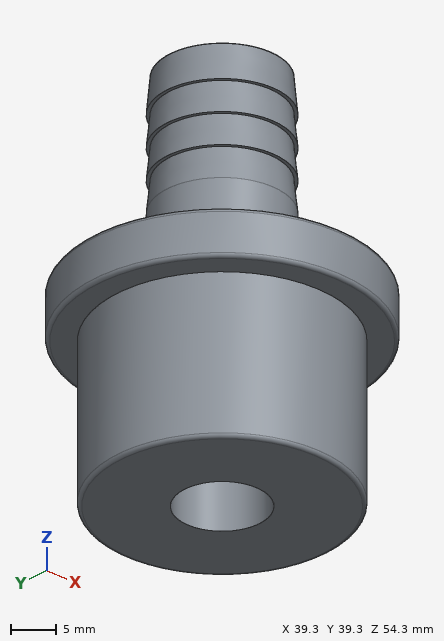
import cadquery as cq

total_height = 54.3
bore_diameter = 11.5

spigot_diameter = 32.2
spigot_height = 20.9
spigot_edge_fillet = 0.5

flange_diameter = 39.3
flange_thickness = 6.2
flange_edge_fillet = 0.5
flange_top = spigot_height + flange_thickness

shank_diameter = 16.9
shank_root_fillet = 1.0
barb_count = 4
barb_pitch = 4.2
barb_small_diameter = 16.0
end_barb_height = 4.7
barbs_start = total_height - end_barb_height - (barb_count - 1) * barb_pitch


def cylinder(diameter, base, height):
    return cq.Workplane("XY").workplane(offset=base).circle(diameter / 2).extrude(height)


def make_spigot():
    """Lower spigot with a rounded bottom rim."""
    spigot = cylinder(spigot_diameter, 0, spigot_height)
    return spigot.faces("<Z").edges().fillet(spigot_edge_fillet)


def make_flange_and_shank():
    """Flange with rounded rims, blended into the plain shank by a fillet."""
    flange = cylinder(flange_diameter, spigot_height, flange_thickness)
    flange = flange.edges().fillet(flange_edge_fillet)
    body = flange.union(cylinder(shank_diameter, flange_top, barbs_start - flange_top))
    flange_top_face = body.faces("|Z").faces(">Z[-2]")
    return flange_top_face.edges(cq.selectors.RadiusNthSelector(0)).fillet(shank_root_fillet)


def make_barbs():
    """Stack of cones, each widest at its lower edge and narrowing upward."""
    profile = cq.Workplane("XZ").moveTo(0, barbs_start)
    for index in range(barb_count):
        is_end = index == barb_count - 1
        base = barbs_start + index * barb_pitch
        height = end_barb_height if is_end else barb_pitch
        profile = profile.lineTo(shank_diameter / 2, base)
        profile = profile.lineTo(barb_small_diameter / 2, base + height)
    return profile.lineTo(0, total_height).close().revolve(360, (0, 0, 0), (0, 1, 0))


bore = cylinder(bore_diameter, 0, total_height)
result = make_spigot().union(make_flange_and_shank()).union(make_barbs()).cut(bore)